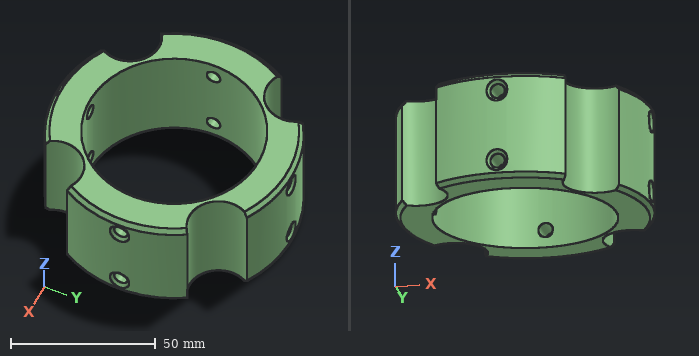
import cadquery as cq
import math

outer_diameter = 89.5
bore_diameter = 64.3
height = 38.1
rim_chamfer = 1.6

notch_radius = 11.0
notch_offset = outer_diameter / 2 * math.cos(math.radians(45))

hole_diameter = 5.1
countersink_diameter = 7.6
countersink_angle = 90.0
hole_row_spacing = 25.4


def make_ring():
    """Chamfered cylinder with a through bore, centred on the origin."""
    body = cq.Workplane("XY").cylinder(height, outer_diameter / 2)
    body = body.edges("%CIRCLE").chamfer(rim_chamfer)
    bore = cq.Workplane("XY").cylinder(height, bore_diameter / 2)
    return body.cut(bore)


def make_notches():
    """Four vertical cylinders that scallop the outside of the ring."""
    notch_pitch = 2 * notch_offset
    return (
        cq.Workplane("XY")
        .rarray(notch_pitch, notch_pitch, 2, 2)
        .cylinder(height, notch_radius)
    )


def make_hole_pair():
    """Upper and lower countersunk hole cutters through the -Y wall."""
    hole_radius = hole_diameter / 2
    countersink_radius = countersink_diameter / 2
    half_angle = math.radians(countersink_angle / 2)
    countersink_depth = (countersink_radius - hole_radius) / math.tan(half_angle)
    outer_y = -outer_diameter / 2
    hole_profile = (
        cq.Workplane("XY")
        .moveTo(0, outer_y)
        .lineTo(countersink_radius, outer_y)
        .lineTo(hole_radius, outer_y + countersink_depth)
        .lineTo(hole_radius, 0)
        .lineTo(0, 0)
        .close()
    )
    cutter = hole_profile.revolve(360, (0, 0, 0), (0, 1, 0))
    upper = cutter.translate((0, 0, hole_row_spacing / 2))
    lower = cutter.translate((0, 0, -hole_row_spacing / 2))
    return upper.add(lower).combine()


result = make_ring().cut(make_notches())
hole_pair = make_hole_pair()
for side_angle in (0, 90, 180, 270):
    result = result.cut(hole_pair.rotate((0, 0, 0), (0, 0, 1), side_angle))